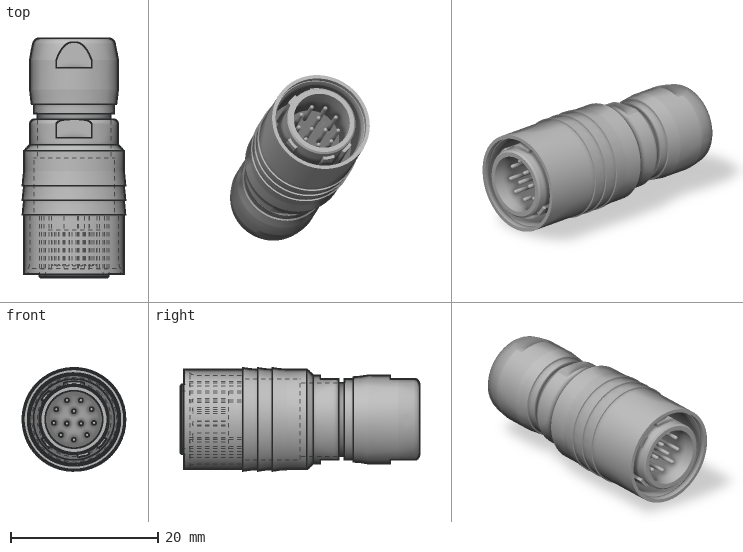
import cadquery as cq
import math

length = 32.5

grip_radius = 12.0 / 2
flat_half_height = 11.0 / 2

nut_front_y = 23.5
nut_front_radius = 11.5 / 2
nut_grip_front_y = 25.5
nut_grip_rear_y = 29.5
nut_rear_radius = 10.72 / 2
nut_rear_fillet = 0.98
nut_crown_radius = 19.5
nut_flat_front_y = 28.5

shell_front_y = 0.5
shell_rear_y = 21.5
shell_radius = 13.6 / 2
shell_cone_front_y = 17.2
shell_cone_rear_y = 18.05
shell_rear_fillet = 0.7
shell_flat_front_y = 19.0
mouth_radius = 12.6 / 2
mouth_depth = 0.8
lead_in_radius = 12.4 / 2
lead_in_length = 0.85
shell_bore_radius = 12.0 / 2
shell_floor_y = 8.5

ridge_radius = 14.0 / 2
ridges_front_y = 8.5
ridges_rear_y = 14.5
ridge_count = 3
ridge_pitch = (ridges_rear_y - ridges_front_y) / ridge_count

barrel_radius = 9.5 / 2
barrel_chamfer = 0.23
socket_radius = 7.8 / 2
socket_depth = 6.5
flange_radius = 11.0 / 2
flange_rear_y = 16.25
neck_radius = 10.0 / 2
collar_front_y = 22.25

key_outer_radius = 10.35 / 2
key_front_y = 1.2
main_key_width = 2.73
main_key_angle = 90
small_key_width = 1.6
small_key_angles = (140, 220, 285, 320)

pin_radius = 0.55 / 2
pin_tip_y = 1.62
outer_pin_count = 9
outer_pin_circle = 2.75
outer_pin_start = 110
inner_pin_count = 3
inner_pin_circle = 1.1
inner_pin_start = 90


def revolved(profile):
    return profile.close().revolve(360, (0, 0, 0), (0, 1, 0))


def cut_wrench_flats(body, front_y, rear_y):
    """Cut a flat above and below the axis, between two Y positions."""
    depth = grip_radius - flat_half_height
    for side in (1, -1):
        slab = cq.Workplane("XY").box(2 * grip_radius, rear_y - front_y, depth)
        middle = (0, (front_y + rear_y) / 2, side * (flat_half_height + depth / 2))
        body = body.cut(slab.translate(middle))
    return body


def make_nut():
    profile = (
        cq.Workplane("XY")
        .moveTo(0, nut_front_y)
        .lineTo(nut_front_radius, nut_front_y)
        .lineTo(grip_radius, nut_grip_front_y)
        .lineTo(grip_radius, nut_grip_rear_y)
        .radiusArc((nut_rear_radius, length), -nut_crown_radius)
        .lineTo(0, length)
    )
    nut = revolved(profile).faces(">Y").edges().fillet(nut_rear_fillet)
    return cut_wrench_flats(nut, nut_flat_front_y, length)


def make_shell():
    profile = (
        cq.Workplane("XY")
        .moveTo(mouth_radius, shell_front_y)
        .lineTo(shell_radius, shell_front_y)
        .lineTo(shell_radius, ridges_front_y)
    )
    for index in range(ridge_count):
        ridge_y = ridges_front_y + index * ridge_pitch
        profile = profile.lineTo(ridge_radius, ridge_y).lineTo(shell_radius, ridge_y + ridge_pitch)
    mouth_floor_y = shell_front_y + mouth_depth
    profile = (
        profile
        .lineTo(shell_radius, shell_cone_front_y)
        .lineTo(grip_radius, shell_cone_rear_y)
        .lineTo(grip_radius, shell_rear_y - shell_rear_fillet)
        .radiusArc((grip_radius - shell_rear_fillet, shell_rear_y), -shell_rear_fillet)
        .lineTo(neck_radius, shell_rear_y)
        .lineTo(neck_radius, flange_rear_y)
        .lineTo(flange_radius, flange_rear_y)
        .lineTo(flange_radius, shell_floor_y)
        .lineTo(shell_bore_radius, shell_floor_y)
        .lineTo(shell_bore_radius, mouth_floor_y + lead_in_length)
        .lineTo(lead_in_radius, mouth_floor_y)
        .lineTo(mouth_radius, mouth_floor_y)
    )
    return cut_wrench_flats(revolved(profile), shell_flat_front_y, shell_rear_y)


def make_key(width, angle):
    """A key with parallel sides and a round top, at an angle from +X towards +Z."""
    key_length = shell_floor_y - key_front_y
    bar = (
        cq.Workplane("XY")
        .box(key_outer_radius, key_length, width)
        .translate((key_outer_radius / 2, 0, 0))
    )
    tube = (
        cq.Workplane("XZ")
        .circle(key_outer_radius)
        .circle((socket_radius + barrel_radius) / 2)
        .extrude(key_length / 2, both=True)
    )
    key = bar.intersect(tube).translate((0, key_front_y + key_length / 2, 0))
    return key.rotate((0, 0, 0), (0, 1, 0), -angle)


def make_pin(circle_radius, angle):
    """A pin with a hemispherical tip, standing on the socket floor."""
    profile = (
        cq.Workplane("XY")
        .moveTo(0, pin_tip_y)
        .radiusArc((pin_radius, pin_tip_y + pin_radius), -pin_radius)
        .lineTo(pin_radius, socket_depth)
        .lineTo(0, socket_depth)
    )
    turn = math.radians(angle)
    pin_x = circle_radius * math.cos(turn)
    pin_z = circle_radius * math.sin(turn)
    return revolved(profile).translate((pin_x, 0, pin_z))


def make_plug():
    profile = (
        cq.Workplane("XY")
        .moveTo(0, socket_depth)
        .lineTo(socket_radius, socket_depth)
        .lineTo(socket_radius, 0)
        .lineTo(barrel_radius - barrel_chamfer, 0)
        .lineTo(barrel_radius, barrel_chamfer)
        .lineTo(barrel_radius, shell_floor_y)
        .lineTo(flange_radius, shell_floor_y)
        .lineTo(flange_radius, flange_rear_y)
        .lineTo(neck_radius, flange_rear_y)
        .lineTo(neck_radius, collar_front_y)
        .lineTo(flange_radius, collar_front_y)
        .lineTo(flange_radius, nut_front_y)
        .lineTo(0, nut_front_y)
    )
    plug = revolved(profile)

    plug = plug.union(make_key(main_key_width, main_key_angle))
    for angle in small_key_angles:
        plug = plug.union(make_key(small_key_width, angle))

    pin_circles = (
        (outer_pin_circle, outer_pin_count, outer_pin_start),
        (inner_pin_circle, inner_pin_count, inner_pin_start),
    )
    for circle_radius, count, start in pin_circles:
        for index in range(count):
            plug = plug.union(make_pin(circle_radius, start + index * 360 / count))
    return plug


nut = make_nut()
shell = make_shell()
plug = make_plug()
result = cq.Compound.makeCompound([nut.val(), shell.val(), plug.val()])